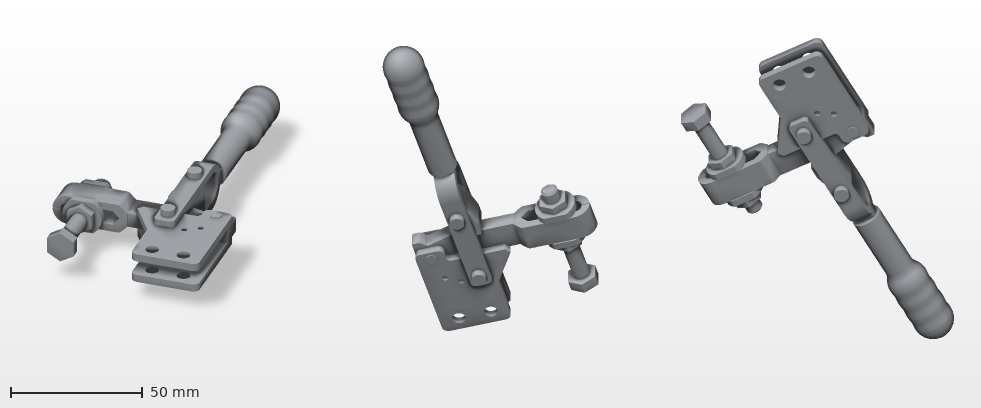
import cadquery as cq
import math


arm_thickness = 5.9
plate_thickness = 3.1
fork_thickness = 3.1
pin_length = 24.0
arm_half = arm_thickness / 2
plate_outer = arm_half + plate_thickness
fork_outer = plate_outer + fork_thickness

plate_left = -5.3
plate_right = 21.8
plate_top = 41.4
shoulder_y = 35.4
shoulder_left = -12.5
wing_tip = (-14.2, 33.4)
wing_root_y = 19.4
ear_left = 10.4
ear_radius = 2.4
notch_radius = 1.7
foot_radius = 2.5
mount_hole_diameter = 5.2
mount_holes = [(1.5, 5.5), (14.2, 5.5)]
small_hole_diameter = 2.4
small_holes = [(8.0, 23.9), (13.5, 27.1)]
rivet_at = (15.9, 37.9)
rivet_diameter = 4.5
rivet_head = 0.4

arm_bottom = 33.7
arm_top = 44.6
neck_x = -18.4
arm_peak = (0.0, 47.3)
saddle_left = (15.3, 42.5)
saddle_right_x = 16.3
horn_left = 18.7
horn_chamfer = 0.4

loop_bottom = 33.3
loop_top = 44.3
loop_nose = -48.4
loop_outer = plate_outer
loop_inner = arm_half
loop_axis = loop_nose + loop_outer
loop_bend_radius = 1.7
slot_tip = -21.2
seam_width = 0.3

bolt_x = -35.5
bolt_diameter = 6.5
bolt_top = 55.9
bolt_chamfer = 0.8
head_bottom = 5.3
head_height = 4.4
head_flats = 10.7
nut_height = 3.4
nut_flats = 10.0
washer_diameter = 15.7
washer_flats = 13.2
washer_height = 2.8

fork_width = 8.1
fork_bottom = 22.6
fork_corner = 2.4
fork_corner_trim = 0.3
fork_bend_y = 67.5
pin_diameter = 5.6
lower_pin_y = 27.9
upper_pin_y = 58.4
link_radius = 3.9
link_tip_y = 58.5
link_left = -6.2
link_flank_y = 50.2
link_bottom = 45.5
leg_end_y = 39.6

tube_bottom = 78.3
tube_radius = 5.8
handle_top = 140.3
grip_radius = 8.0
wave_depth = 0.3
wave_pitch = 6.7
wave_count = 3
groove_half = 1.3
neck_fillet = 5.9


def slab(sketch, half_height):
    """Extrude an XY sketch to a prism centred on z = 0."""
    return sketch.extrude(2 * half_height).translate((0, 0, -half_height))


def hexagon(flats, bottom, height):
    """Hexagonal prism on the bolt axis with corners on +Z and -Z."""
    corner_diameter = flats / math.cos(math.pi / 6)
    prism = cq.Workplane("XZ").polygon(6, corner_diameter).extrude(-height)
    return prism.rotate((0, 0, 0), (0, 1, 0), 90).translate((bolt_x, bottom, 0))


def cross_pin(x, y, diameter, length):
    return slab(cq.Workplane("XY").center(x, y).circle(diameter / 2), length / 2)


def make_plates():
    outline = (
        cq.Workplane("XY")
        .moveTo(plate_left, 0)
        .lineTo(plate_right, 0)
        .lineTo(plate_right, plate_top)
        .lineTo(ear_left, plate_top)
        .lineTo(ear_left, shoulder_y)
        .lineTo(shoulder_left, shoulder_y)
        .lineTo(*wing_tip)
        .lineTo(plate_left, wing_root_y)
        .close()
    )
    body = slab(outline, plate_outer)
    body = body.edges("|Z").edges("<Y").fillet(foot_radius)
    body = body.edges("|Z").edges(">Y").fillet(ear_radius)
    inner_corner = cq.selectors.NearestToPointSelector((ear_left, shoulder_y, 0))
    body = body.edges("|Z").edges(inner_corner).fillet(notch_radius)
    for places, diameter in ((mount_holes, mount_hole_diameter), (small_holes, small_hole_diameter)):
        body = body.cut(slab(cq.Workplane("XY").pushPoints(places).circle(diameter / 2), plate_outer))
    gap = cq.Workplane("XY").box(4 * plate_right, 4 * plate_top, arm_thickness)
    return body.cut(gap)


def make_arm():
    outline = (
        cq.Workplane("XY")
        .moveTo(neck_x, arm_bottom)
        .lineTo(plate_right, arm_bottom)
        .lineTo(plate_right, arm_top)
        .lineTo(horn_left, arm_top)
        .lineTo(saddle_right_x, saddle_left[1])
        .lineTo(*saddle_left)
        .lineTo(*arm_peak)
        .lineTo(arm_peak[0], arm_top)
        .lineTo(neck_x, arm_top)
        .close()
    )
    arm = slab(outline, arm_half)
    arm = arm.edges("|Z and >X").edges("<Y").fillet(foot_radius)
    return arm.edges("|Z and >X").edges(">Y").chamfer(horn_chamfer)


def make_loop():
    """Bar bent round the bolt into a loop, with its two 45 degree legs closing on the arm."""
    wall = loop_outer - loop_inner
    bend_x = neck_x - wall
    height = loop_top - loop_bottom
    outer = (
        cq.Workplane("XZ", origin=(0, loop_top, 0))
        .moveTo(loop_axis, loop_outer)
        .threePointArc((loop_nose, 0), (loop_axis, -loop_outer))
        .lineTo(bend_x, -loop_outer)
        .lineTo(neck_x, -loop_inner)
        .lineTo(neck_x, loop_inner)
        .lineTo(bend_x, loop_outer)
        .close()
        .extrude(height)
    )
    for z in (-loop_outer, loop_outer):
        bend = cq.selectors.NearestToPointSelector((bend_x, (loop_top + loop_bottom) / 2, z))
        outer = outer.edges("|Y").edges(bend).fillet(loop_bend_radius)
    slot = (
        cq.Workplane("XZ", origin=(0, loop_top, 0))
        .moveTo(loop_axis, loop_inner)
        .threePointArc((loop_axis - loop_inner, 0), (loop_axis, -loop_inner))
        .lineTo(slot_tip - loop_inner, -loop_inner)
        .lineTo(slot_tip, 0)
        .lineTo(slot_tip - loop_inner, loop_inner)
        .close()
        .extrude(height)
    )
    seam = cq.Workplane("XY").box(loop_outer, height, seam_width)
    seam = seam.translate((loop_axis - loop_outer / 2, (loop_top + loop_bottom) / 2, 0))
    return outer.cut(slot).cut(seam)


def make_washer(bottom):
    washer = cq.Workplane("XZ").circle(washer_diameter / 2).extrude(-washer_height)
    flats = cq.Workplane("XY").box(washer_diameter, 2 * washer_height, washer_flats)
    return washer.intersect(flats).translate((bolt_x, bottom, 0))


def make_bolt():
    shank = cq.Workplane("XZ").circle(bolt_diameter / 2).extrude(-(bolt_top - head_bottom))
    shank = shank.faces(">Y").chamfer(bolt_chamfer)
    bolt = shank.translate((bolt_x, head_bottom, 0))
    bolt = bolt.union(hexagon(head_flats, head_bottom, head_height))
    lower_washer = loop_bottom - washer_height
    upper_nut = loop_top + washer_height
    bolt = bolt.union(make_washer(lower_washer)).union(make_washer(loop_top))
    bolt = bolt.union(hexagon(nut_flats, lower_washer - nut_height, nut_height))
    return bolt.union(hexagon(nut_flats, upper_nut, nut_height))


def fork_sides(width, half_thickness):
    length = fork_bend_y - fork_bottom
    block = cq.Workplane("XY").box(width, length, 2 * half_thickness)
    return block.translate((0, fork_bottom + length / 2, 0))


def fork_blank(half_thickness):
    """U-shaped block: straight sides up to the bend, then a half cylinder."""
    sides = fork_sides(fork_width, half_thickness)
    bend_plane = cq.Workplane("YZ", origin=(-fork_width / 2, fork_bend_y, 0))
    bend = bend_plane.circle(half_thickness).extrude(fork_width)
    return sides.union(bend)


def make_fork():
    outer = fork_blank(fork_outer)
    wide_sides = fork_sides(fork_width + 2 * fork_corner_trim, fork_outer)
    rounded_sides = wide_sides.edges("|Z and <Y").fillet(fork_corner)
    outer = outer.cut(wide_sides.cut(rounded_sides))
    stem_length = tube_bottom - fork_bend_y
    stem = cq.Workplane("XY").box(fork_width, stem_length, arm_thickness)
    outer = outer.union(stem.translate((0, fork_bend_y + stem_length / 2, 0)))
    return outer.cut(fork_blank(plate_outer))


def make_link():
    """Link filling the fork, with two legs that straddle the arm."""
    head = slab(
        cq.Workplane("XY")
        .moveTo(link_radius, link_bottom)
        .lineTo(link_radius, link_tip_y)
        .threePointArc((0, link_tip_y + link_radius), (-link_radius, link_tip_y))
        .lineTo(link_left, link_flank_y)
        .lineTo(link_left, link_bottom)
        .close(),
        plate_outer,
    )
    legs = slab(
        cq.Workplane("XY")
        .moveTo(link_radius, link_bottom)
        .lineTo(link_radius, leg_end_y)
        .threePointArc((0, leg_end_y - link_radius), (-link_radius, leg_end_y))
        .lineTo(-link_radius, link_bottom)
        .close(),
        plate_outer,
    )
    return head.union(legs)


def make_handle():
    """Tube and grip turned about the Y axis; the grip has three shallow rounded grooves."""
    dome_y = handle_top - grip_radius
    grip_bottom = dome_y - wave_count * wave_pitch
    fillet_x = tube_radius + neck_fillet
    reach = grip_radius + neck_fillet
    fillet_y = grip_bottom - math.sqrt(reach**2 - fillet_x**2)
    ball_share = grip_radius / reach
    join = (fillet_x * ball_share, grip_bottom + (fillet_y - grip_bottom) * ball_share)
    join_angle = math.atan2(grip_bottom - fillet_y, fillet_x)
    neck_middle = (
        fillet_x - neck_fillet * math.cos(join_angle / 2),
        fillet_y + neck_fillet * math.sin(join_angle / 2),
    )
    ball_middle = (
        grip_radius * math.cos(join_angle / 2),
        grip_bottom - grip_radius * math.sin(join_angle / 2),
    )
    profile = (
        cq.Workplane("XY")
        .moveTo(0, tube_bottom)
        .lineTo(tube_radius, tube_bottom)
        .lineTo(tube_radius, fillet_y)
        .threePointArc(neck_middle, join)
        .threePointArc(ball_middle, (grip_radius, grip_bottom))
    )
    crest_half = wave_pitch / 2 - groove_half
    crest_drop = wave_depth * crest_half / (wave_pitch / 2)
    shoulder = grip_radius - crest_drop
    crest_middle = grip_radius - crest_drop / 4
    for index in range(wave_count):
        start = grip_bottom + index * wave_pitch
        end = start + wave_pitch
        groove_y = start + wave_pitch / 2
        profile = (
            profile
            .threePointArc((crest_middle, start + crest_half / 2), (shoulder, start + crest_half))
            .threePointArc((grip_radius - wave_depth, groove_y), (shoulder, end - crest_half))
            .threePointArc((crest_middle, end - crest_half / 2), (grip_radius, end))
        )
    dome_middle = grip_radius * math.sqrt(0.5)
    profile = profile.threePointArc((dome_middle, dome_y + dome_middle), (0, handle_top)).close()
    return profile.revolve(360, (0, 0, 0), (0, 1, 0))


result = make_plates()
for component in (
    make_arm(),
    make_loop(),
    make_bolt(),
    make_fork(),
    make_link(),
    make_handle(),
    cross_pin(0, lower_pin_y, pin_diameter, pin_length),
    cross_pin(0, upper_pin_y, pin_diameter, pin_length),
    cross_pin(*rivet_at, rivet_diameter, 2 * (plate_outer + rivet_head)),
):
    result = result.union(component)